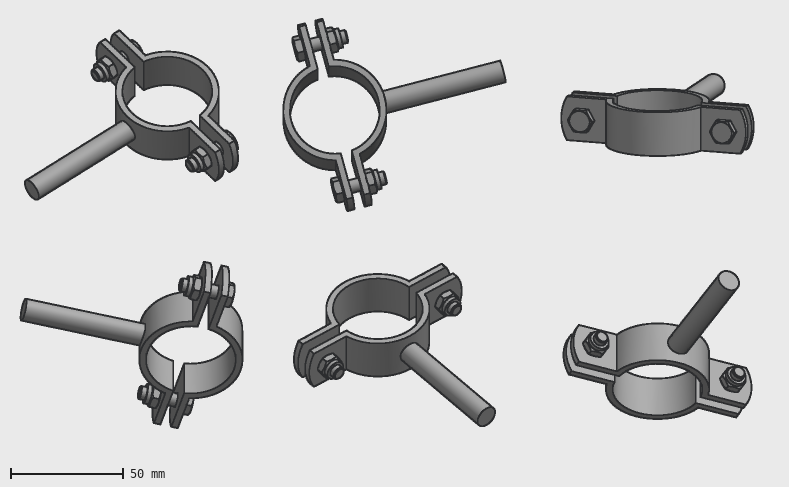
import cadquery as cq
import math

CLAMP_WIDTH = 20.0
STRAP_THICKNESS = 3.0
RING_OUTER_RADIUS = 23.0
RING_INNER_RADIUS = RING_OUTER_RADIUS - STRAP_THICKNESS
CLAMP_GAP = 5.0
EAR_SPAN = 87.0
EAR_END_RADIUS = 20.0
BOLT_HOLE_DIAMETER = 6.5
BOLT_OFFSET = 33.5

ROD_DIAMETER = 10.0
TOTAL_LENGTH = 100.5
ROD_END_Y = RING_OUTER_RADIUS - TOTAL_LENGTH

BOLT_DIAMETER = 6.0
BOLT_TIP_CHAMFER = 0.5
BOLT_LENGTH = 20.0
HEX_ACROSS_FLATS = 10.0
HEAD_HEIGHT = 4.0
HEX_FACE_DIAMETER = 9.5
WASHER_FACE_DIAMETER = 8.9
WASHER_FACE_HEIGHT = 0.3

NUT_HEIGHT = 6.0
NUT_HEX_HEIGHT = 4.0
NUT_COLLAR_DIAMETER = 8.9

CORNER_CHAMFER_ANGLE = 30.0

GAP_FACE_Y = CLAMP_GAP / 2
EAR_OUTER_Y = GAP_FACE_Y + STRAP_THICKNESS
HEX_CORNER_DIAMETER = HEX_ACROSS_FLATS / math.cos(math.radians(30))


def cylinder_y(diameter, start, end, x=0.0):
    """Cylinder along Y between two Y positions, start below end."""
    return (
        cq.Workplane("XZ", origin=(x, end, 0))
        .circle(diameter / 2)
        .extrude(end - start)
    )


def ear_outline():
    """Block covering the clamp, with the rounded ear ends, extruded along Y."""
    half_span = EAR_SPAN / 2
    half_width = CLAMP_WIDTH / 2
    corner_x = half_span - EAR_END_RADIUS + math.sqrt(EAR_END_RADIUS**2 - half_width**2)
    return (
        cq.Workplane("XZ")
        .moveTo(-corner_x, -half_width)
        .lineTo(corner_x, -half_width)
        .threePointArc((half_span, 0), (corner_x, half_width))
        .lineTo(-corner_x, half_width)
        .threePointArc((-half_span, 0), (-corner_x, -half_width))
        .close()
        .extrude(RING_OUTER_RADIUS, both=True)
    )


def ring_disc(radius):
    """Disc about the ring axis, over the full clamp width."""
    return cq.Workplane("XY").circle(radius).extrude(CLAMP_WIDTH / 2, both=True)


def make_clamp_half():
    """Half ring with two ears, on the +Y side of the gap."""
    disc = ring_disc(RING_OUTER_RADIUS)
    ears = cq.Workplane("XY").box(EAR_SPAN, 2 * EAR_OUTER_Y, CLAMP_WIDTH)
    bore = ring_disc(RING_INNER_RADIUS)
    half_space = cq.Workplane("XY").box(
        EAR_SPAN, RING_OUTER_RADIUS, CLAMP_WIDTH
    ).translate((0, GAP_FACE_Y + RING_OUTER_RADIUS / 2, 0))
    half = disc.union(ears).cut(bore).intersect(half_space).intersect(ear_outline())
    for side in (-1, 1):
        half = half.cut(cylinder_y(BOLT_HOLE_DIAMETER, GAP_FACE_Y, EAR_OUTER_Y, side * BOLT_OFFSET))
    return half


def make_rod_clamp_half():
    """Clamp half on the -Y side, with the rod standing on the ring."""
    rod = cylinder_y(ROD_DIAMETER, ROD_END_Y, -RING_INNER_RADIUS)
    bore = ring_disc(RING_INNER_RADIUS)
    return make_clamp_half().mirror("XZ").union(rod.cut(bore))


def chamfered_hex(height, top_diameter, base_chamfered):
    """Hexagonal prism up Z, coned down to a circle at the top, optionally at the base too."""
    top_radius = top_diameter / 2
    base_radius = HEX_FACE_DIAMETER / 2
    corner_radius = HEX_CORNER_DIAMETER / 2
    slope = math.tan(math.radians(CORNER_CHAMFER_ANGLE))
    top_drop = (corner_radius - top_radius) * slope
    base_rise = (corner_radius - base_radius) * slope
    profile = cq.Workplane("XZ").moveTo(0, 0)
    if base_chamfered:
        profile = profile.lineTo(base_radius, 0).lineTo(corner_radius, base_rise)
    else:
        profile = profile.lineTo(corner_radius, 0)
    envelope = (
        profile.lineTo(corner_radius, height - top_drop)
        .lineTo(top_radius, height)
        .lineTo(0, height)
        .close()
        .revolve(360, (0, 0, 0), (0, 1, 0))
    )
    prism = cq.Workplane("XY").polygon(6, HEX_CORNER_DIAMETER).extrude(height)
    return prism.intersect(envelope)


def make_bolt(x):
    """Hex bolt along Y, its head on the +Y ear."""
    hexagon = chamfered_hex(HEAD_HEIGHT - WASHER_FACE_HEIGHT, HEX_FACE_DIAMETER, base_chamfered=False)
    head = hexagon.rotate((0, 0, 0), (1, 0, 0), -90)
    head = head.translate((x, EAR_OUTER_Y + WASHER_FACE_HEIGHT, 0))
    washer_face = cylinder_y(
        WASHER_FACE_DIAMETER, EAR_OUTER_Y, EAR_OUTER_Y + WASHER_FACE_HEIGHT, x
    )
    shank = cylinder_y(BOLT_DIAMETER, EAR_OUTER_Y - BOLT_LENGTH, EAR_OUTER_Y, x)
    shank = shank.faces("<Y").edges().chamfer(BOLT_TIP_CHAMFER)
    return head.union(washer_face).union(shank)


def make_nut(x):
    """Lock nut with a round collar, seated on the -Y ear."""
    collar = cq.Workplane("XY").circle(NUT_COLLAR_DIAMETER / 2).extrude(NUT_HEIGHT)
    thread_hole = cq.Workplane("XY").circle(BOLT_DIAMETER / 2).extrude(NUT_HEIGHT)
    hexagon = chamfered_hex(NUT_HEX_HEIGHT, NUT_COLLAR_DIAMETER, base_chamfered=True)
    nut = hexagon.union(collar).cut(thread_hole)
    return nut.rotate((0, 0, 0), (1, 0, 0), 90).translate((x, -EAR_OUTER_Y, 0))


clamp_half = make_clamp_half()
rod_clamp_half = make_rod_clamp_half()
bolts = []
nuts = []
for bolt_x in (-BOLT_OFFSET, BOLT_OFFSET):
    bolts.append(make_bolt(bolt_x).val())
    nuts.append(make_nut(bolt_x).val())

result = cq.Compound.makeCompound([clamp_half.val(), rod_clamp_half.val(), *bolts, *nuts])